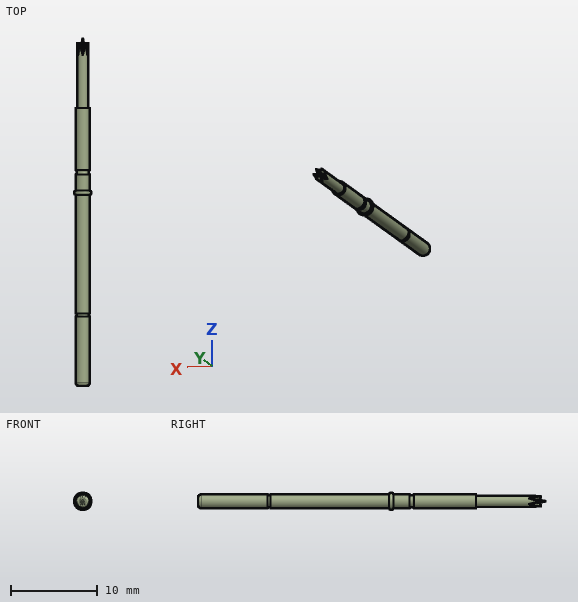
import cadquery as cq
import math

total_length = 40.0
crown_end = 39.5
sleeve_end = 32.0

sleeve_diameter = 1.65
plunger_diameter = 1.3
collar_diameter = 2.0

rear_round = 0.45

collar_center = 22.25
collar_width = 0.5

crimp_grooves = [(8.2, 0.35), (24.6, 0.5)]
groove_depth = 0.14

tooth_count = 6
notch_depth = 1.4
crown_dip = 0.2
spike_base_diameter = 0.4
spike_tip_diameter = 0.1
spike_root = 39.05
notch_overreach = 1.5

sleeve_radius = sleeve_diameter / 2
plunger_radius = plunger_diameter / 2
collar_radius = collar_diameter / 2
crown_center = crown_end - crown_dip


def cylinder(diameter, start, end):
    """Solid cylinder about the Y axis, from start to end along Y."""
    return cq.Workplane("XZ", origin=(0, start, 0)).circle(diameter / 2).extrude(start - end)


def spin(profile):
    """Revolve a closed XY profile about the Y axis."""
    return profile.revolve(360, (0, 0, 0), (0, 1, 0))


def make_sleeve():
    """Plain barrel with its rear edge rounded."""
    return cylinder(sleeve_diameter, 0, sleeve_end).faces("<Y").edges().fillet(rear_round)


def make_collar():
    """Half-round bead around the sleeve."""
    bead_radius = collar_width / 2
    bead_center = collar_radius - bead_radius
    return spin(
        cq.Workplane("XY")
        .moveTo(bead_center, collar_center - bead_radius)
        .threePointArc((collar_radius, collar_center), (bead_center, collar_center + bead_radius))
        .close()
    )


def make_groove(center, width):
    """Ring that cuts a shallow hollow-round groove into the sleeve."""
    rear = center - width / 2
    front = center + width / 2
    return spin(
        cq.Workplane("XY")
        .moveTo(sleeve_radius, rear)
        .threePointArc((sleeve_radius - groove_depth, center), (sleeve_radius, front))
        .lineTo(collar_radius, front)
        .lineTo(collar_radius, rear)
        .close()
    )


def make_notch(angle):
    """Wedge with a V-shaped floor that falls from the axis to the rim; its sides end at tooth ridges."""
    reach = notch_overreach * plunger_radius
    half_angle = math.pi / tooth_count
    half_width = reach * math.tan(half_angle)
    ridge_radius = reach / math.cos(half_angle)
    ridge_height = crown_center + crown_dip * ridge_radius / plunger_radius
    valley_height = crown_center - (notch_depth - crown_dip) * reach / plunger_radius

    apex = (0, crown_center, 0)
    left = (-half_width, ridge_height, reach)
    right = (half_width, ridge_height, reach)
    valley = (0, valley_height, reach)
    apex_top = (0, total_length, 0)
    left_top = (-half_width, total_length, reach)
    right_top = (half_width, total_length, reach)
    outlines = [
        (apex, left, valley),
        (apex, right, valley),
        (apex, left, left_top, apex_top),
        (apex, right, right_top, apex_top),
        (left, valley, right, right_top, left_top),
        (apex_top, left_top, right_top),
    ]
    faces = [cq.Face.makeFromWires(cq.Wire.makePolygon(outline, close=True)) for outline in outlines]
    notch = cq.Workplane(cq.Solid.makeSolid(cq.Shell.makeShell(faces)))
    return notch.rotate((0, 0, 0), (0, 1, 0), angle)


def make_plunger():
    """Thinner front rod with radial V notches that leave a crown of pointed teeth."""
    plunger = cylinder(plunger_diameter, sleeve_end, crown_end)
    for index in range(tooth_count):
        plunger = plunger.cut(make_notch(index * 360 / tooth_count))
    return plunger


def make_spike():
    """Slender tapered spike in the middle of the crown."""
    return spin(
        cq.Workplane("XY")
        .moveTo(0, spike_root)
        .lineTo(spike_base_diameter / 2, spike_root)
        .lineTo(spike_tip_diameter / 2, total_length)
        .lineTo(0, total_length)
        .close()
    )


result = make_sleeve().union(make_collar()).union(make_plunger()).union(make_spike())
for center, width in crimp_grooves:
    result = result.cut(make_groove(center, width))